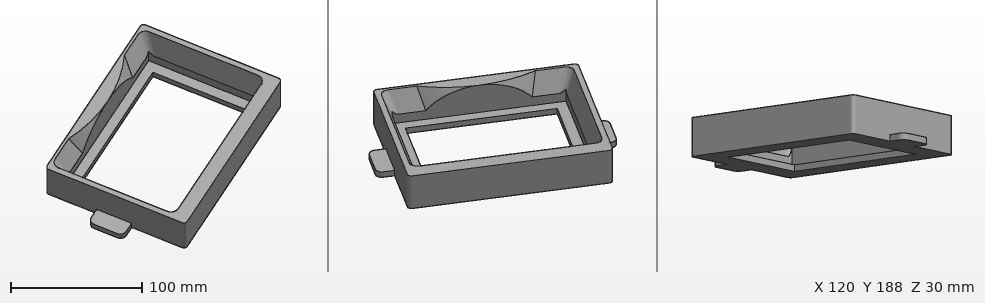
import cadquery as cq
import math

body_width = 120.0
body_length = 160.0
body_height = 30.0
body_corner_radius = 3.0

overall_length = 188.0
tab_width = 30.0
tab_thickness = 5.0
tab_corner_radius = 5.0
tab_center_x = -1.1

floor_thickness = 5.0
pocket_width = 96.0
pocket_length = 136.0
window_width = 79.7
window_length = 118.5

flare_start_z = 13.0
mouth_left_x = -57.5
mouth_length = 150.4
mouth_corner_radius = 6.4
flare_base_corner_radius = 5.5

bulge_half_length_top = 46.2
bulge_half_length_base = 41.5
bulge_depth = -pocket_width / 2 - mouth_left_x


def make_body():
    body = cq.Workplane("XY").box(
        body_width, body_length, body_height, centered=(True, True, False)
    )
    return body.edges("|Z").fillet(body_corner_radius)


def make_tabs():
    """One bar under the body whose two ends stick out as rounded tabs."""
    bar = cq.Workplane("XY").box(
        tab_width, overall_length, tab_thickness, centered=(True, True, False)
    )
    return bar.edges("|Z").fillet(tab_corner_radius).translate((tab_center_x, 0, 0))


def flare_outline(z, left_x, length, radius, bulge_half_length):
    """Rounded rectangle with an arc bulging inward on its left side."""
    right_x = pocket_width / 2
    half = length / 2
    inset = radius * (1 - math.sqrt(0.5))
    return (
        cq.Workplane("XY", origin=(0, 0, z))
        .moveTo(left_x + radius, -half)
        .lineTo(right_x - radius, -half)
        .threePointArc((right_x - inset, -half + inset), (right_x, -half + radius))
        .lineTo(right_x, half - radius)
        .threePointArc((right_x - inset, half - inset), (right_x - radius, half))
        .lineTo(left_x + radius, half)
        .threePointArc((left_x + inset, half - inset), (left_x, half - radius))
        .lineTo(left_x, bulge_half_length)
        .threePointArc((left_x + bulge_depth, 0), (left_x, -bulge_half_length))
        .lineTo(left_x, -half + radius)
        .threePointArc((left_x + inset, -half + inset), (left_x + radius, -half))
        .close()
        .val()
    )


def make_flare():
    base = flare_outline(
        flare_start_z, -pocket_width / 2, pocket_length,
        flare_base_corner_radius, bulge_half_length_base,
    )
    mouth = flare_outline(
        body_height, mouth_left_x, mouth_length,
        mouth_corner_radius, bulge_half_length_top,
    )
    return cq.Workplane(cq.Solid.makeLoft([base, mouth], True))


def make_pocket():
    return (
        cq.Workplane("XY", origin=(0, 0, floor_thickness))
        .rect(pocket_width, pocket_length)
        .extrude(body_height - floor_thickness)
    )


def make_window():
    return cq.Workplane("XY").rect(window_width, window_length).extrude(body_height)


result = make_body().union(make_tabs()).cut(make_pocket()).cut(make_flare()).cut(make_window())